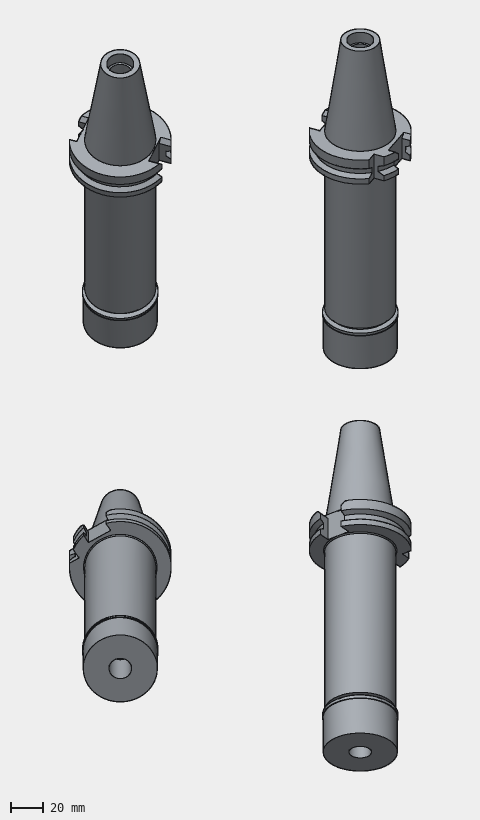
import cadquery as cq
import math

TOTAL_LENGTH = 233.5
BORE_RADIUS = 7.0

NUT_HEIGHT = 27.3
NUT_RADIUS = 23.0
NUT_COLLAR_RADIUS = 23.5
NUT_COLLAR_HEIGHT = 2.0

SHANK_RADIUS = 22.2
SHANK_BOTTOM = 30.0
NECK_RADIUS = 19.4

TAPER_LENGTH = 68.5
TAPER_BASE_RADIUS = 22.2
TAPER_RATIO = 7 / 24
TAPER_TOP_RADIUS = TAPER_BASE_RADIUS - TAPER_LENGTH * TAPER_RATIO / 2
COUNTERBORE_RADIUS = 8.5
COUNTERBORE_DEPTH = 8.0

FLANGE_RADIUS = 31.7
STEP_HEIGHT = 0.7
ROOT_CHAMFER = 0.7
TAPER_BASE = TOTAL_LENGTH - TAPER_LENGTH
FLANGE_TOP = TAPER_BASE - STEP_HEIGHT
FLANGE_HEIGHT = 18.2
FLANGE_BOTTOM = FLANGE_TOP - FLANGE_HEIGHT
GROOVE_FLOOR_RADIUS = 28.5
GROOVE_FLOOR_WIDTH = 3.7
GROOVE_CENTER_Z = 153.8
GROOVE_FLANK_ANGLE = 30.0
GROOVE_FLANK_HEIGHT = (FLANGE_RADIUS - GROOVE_FLOOR_RADIUS) * math.tan(math.radians(GROOVE_FLANK_ANGLE))

SLOT_WIDTH = 16.0
SLOT_CHAMFER = 2.8
LEFT_SLOT_FLOOR = 25.0
RIGHT_SLOT_FLOOR = 22.9
NOTCH_X = -19.0
NOTCH_Y = 18.7


def make_holder_blank():
    """Turned outline of neck, shank, grooved flange and taper, revolved about Z."""
    floor_low = GROOVE_CENTER_Z - GROOVE_FLOOR_WIDTH / 2
    floor_high = GROOVE_CENTER_Z + GROOVE_FLOOR_WIDTH / 2
    outline = [
        (0, NUT_HEIGHT),
        (NECK_RADIUS, NUT_HEIGHT),
        (NECK_RADIUS, SHANK_BOTTOM),
        (SHANK_RADIUS, SHANK_BOTTOM),
        (SHANK_RADIUS, FLANGE_BOTTOM - ROOT_CHAMFER),
        (SHANK_RADIUS + ROOT_CHAMFER, FLANGE_BOTTOM),
        (FLANGE_RADIUS, FLANGE_BOTTOM),
        (FLANGE_RADIUS, floor_low - GROOVE_FLANK_HEIGHT),
        (GROOVE_FLOOR_RADIUS, floor_low),
        (GROOVE_FLOOR_RADIUS, floor_high),
        (FLANGE_RADIUS, floor_high + GROOVE_FLANK_HEIGHT),
        (FLANGE_RADIUS, FLANGE_TOP),
        (TAPER_BASE_RADIUS, FLANGE_TOP),
        (TAPER_BASE_RADIUS, TAPER_BASE),
        (TAPER_TOP_RADIUS, TOTAL_LENGTH),
        (0, TOTAL_LENGTH),
    ]
    return cq.Workplane("XZ").polyline(outline).close().revolve(360, (0, 0), (0, 1))


def make_slot_cutter(floor_distance, side):
    """Radial slot through the flange, widened by chamfers at the top; side is -1 or +1 along X."""
    half_width = SLOT_WIDTH / 2
    mouth_half_width = half_width + SLOT_CHAMFER
    section = [
        (-half_width, FLANGE_BOTTOM),
        (half_width, FLANGE_BOTTOM),
        (half_width, FLANGE_TOP - SLOT_CHAMFER),
        (mouth_half_width, FLANGE_TOP),
        (-mouth_half_width, FLANGE_TOP),
        (-half_width, FLANGE_TOP - SLOT_CHAMFER),
    ]
    slot_length = FLANGE_RADIUS - floor_distance
    return (
        cq.Workplane("YZ", origin=(side * floor_distance, 0, 0))
        .polyline(section)
        .close()
        .extrude(side * slot_length)
    )


def make_notch_cutter():
    """Square corner removed from the flange on its -X, +Y side."""
    return (
        cq.Workplane("XY", origin=(NOTCH_X, NOTCH_Y, FLANGE_BOTTOM))
        .rect(-FLANGE_RADIUS, FLANGE_RADIUS, centered=False)
        .extrude(FLANGE_HEIGHT)
    )


def make_holder():
    """Tool holder with stepped bore, driving slots and orientation notch."""
    return (
        make_holder_blank()
        .cut(make_slot_cutter(LEFT_SLOT_FLOOR, -1))
        .cut(make_slot_cutter(RIGHT_SLOT_FLOOR, 1))
        .cut(make_notch_cutter())
        .faces(">Z")
        .workplane()
        .cboreHole(2 * BORE_RADIUS, 2 * COUNTERBORE_RADIUS, COUNTERBORE_DEPTH)
    )


def make_nut():
    """Clamping nut: a plain ring with a slightly wider collar at its upper end."""
    collar_bottom = NUT_HEIGHT - NUT_COLLAR_HEIGHT
    barrel = cq.Workplane("XY").circle(NUT_RADIUS).extrude(NUT_HEIGHT)
    collar = (
        cq.Workplane("XY", origin=(0, 0, collar_bottom))
        .circle(NUT_COLLAR_RADIUS)
        .extrude(NUT_COLLAR_HEIGHT)
    )
    return barrel.union(collar).faces(">Z").workplane().hole(2 * BORE_RADIUS)


holder = make_holder()
nut = make_nut()

result = cq.Compound.makeCompound([holder.val(), nut.val()])